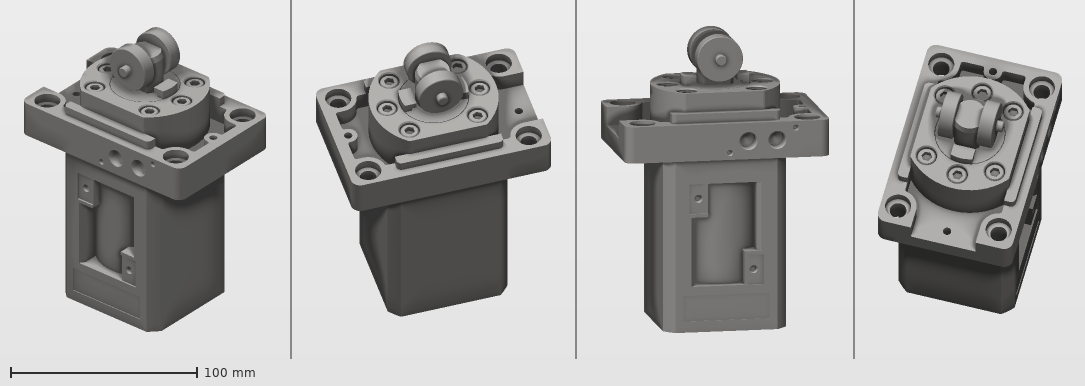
import cadquery as cq
import math

plate_bottom = 95.0
pocket_floor = 104.9
plate_top = 114.9
bar_top = 120.0
cap_top = 130.0
total_height = 158.0

body_width = 67.3
body_depth = 64.5
body_corner_radius = 42.7
front_y = -body_depth / 2

plate_length = 112.0
plate_width = 75.0
plate_corner_radius = 5.0
plate_front_y = -plate_width / 2
fixing_hole_x = 45.0
fixing_hole_y = 28.0
fixing_hole_diameter = 9.0
fixing_counterbore_diameter = 14.0
fixing_counterbore_depth = 5.0
dowel_hole_x = 47.9
dowel_hole_diameter = 4.5

pocket_half_width = 26.9
pocket_end_half_width = 18.0
pocket_end_x = 49.6
pocket_end_fillet = 1.5
pocket_side_fillet = 1.5
fixing_boss_radius = fixing_hole_y - pocket_end_half_width
dowel_boss_diameter = 10.0
dowel_boss_radius = dowel_boss_diameter / 2

bar_length = 59.5
bar_outer_y = 32.7
bar_corner_radius = 2.5

cap_diameter = 70.0
cap_radius = cap_diameter / 2
cap_flat_width = 54.8
cap_flat_y = cap_flat_width / 2
cap_edge_chamfer = 0.5
side_screw_x = 25.9
corner_screw_x = 19.1
corner_screw_y = 19.0
screw_head_diameter = 10.0
screw_head_chamfer = 0.6
screw_recess_diameter = 11.0
screw_recess_chamfer = 0.6
screw_recess_depth = 7.1
screw_head_drop = 1.0
hex_socket_flats = 5.0
hex_socket_depth = 3.0

port_xs = (11.0, 26.9)
port_z = pocket_floor
port_diameter = 8.5
port_rim_diameter = 10.0
port_depth = 7.9
vent_places = ((1.0, 98.8), (37.0, 111.2))
vent_diameter = 2.5
vent_rim_diameter = 3.3
vent_depth = 5.0
drill_half_angle = math.radians(59)

core_radius = 27.0
window_mid_z = 53.1
window_height = 56.2
window_width = 38.4
window_half_width = window_width / 2
window_inner_half_width = 17.0
window_taper_depth = 3.2

lug_inner_x = 10.0
lug_height = 18.3
pad_outer_x = 20.2
pad_height = 16.5
pad_depth = 1.0
pad_hole_x = (lug_inner_x + pad_outer_x) / 2
pad_hole_offset_z = 19.9
pad_hole_diameter = 3.3
pad_hole_rim_diameter = 4.5
pad_hole_depth = 5.0

label_width = 47.1
label_height = 14.0
label_mid_z = 13.1
label_depth = 0.5

bore_diameter = 38.0
disc_diameter = 37.5
post_diameter = 20.0
post_half_thickness = 7.0
post_top = 151.2
post_chamfer_width = 1.3
post_chamfer_height = 3.0
key_half_width = 6.0
key_inner_x = 11.2
key_foot_inner_x = 13.9
key_height = 4.9
key_lip_underside = 1.7

wheel_diameter = 25.0
wheel_outer_span = 29.5
wheel_outer_y = wheel_outer_span / 2
wheel_chamfer = 0.3
axle_diameter = 6.0
axle_length = 37.3
axle_chamfer = 0.5
axle_z = total_height - wheel_diameter / 2


def block(x_range, y_range, z_range):
    """Box between two limits along each axis."""
    size = [high - low for low, high in (x_range, y_range, z_range)]
    corner = (x_range[0], y_range[0], z_range[0])
    return cq.Workplane("XY").box(*size, centered=False).translate(corner)


def upright_cylinder(diameter, bottom, top):
    return cq.Workplane("XY").workplane(offset=bottom).circle(diameter / 2).extrude(top - bottom)


def y_cylinder(diameter, y_start, y_end):
    """Cylinder along Y, centred on the axle line."""
    return (
        cq.Workplane("XZ", origin=(0, y_start, axle_z))
        .circle(diameter / 2)
        .extrude(y_start - y_end)
    )


def drilled_hole(x, z, face_y, diameter, rim_diameter, depth):
    """Blind hole along +Y with a 45 degree rim chamfer and a conical drill tip."""
    radius = diameter / 2
    rim_radius = rim_diameter / 2
    tip = depth + radius / math.tan(drill_half_angle)
    profile = [(0, 0), (rim_radius, 0), (radius, rim_radius - radius), (radius, depth), (0, tip)]
    hole = cq.Workplane("XY").polyline(profile).close().revolve(360, (0, 0, 0), (0, 1, 0))
    return hole.translate((x, face_y, z))


def half_turn(shape):
    """The shape turned by 180 degrees about the window's front-to-back centre line."""
    return shape.rotate((0, 0, window_mid_z), (0, 1, window_mid_z), 180)


def make_lower_body():
    body = block(
        (-body_width / 2, body_width / 2), (front_y, -front_y), (0, plate_bottom)
    )
    return body.intersect(upright_cylinder(2 * body_corner_radius, 0, plate_bottom))


def make_window():
    """Cutter for the window: tapered at its mouth, then straight back to the round core."""
    bottom = window_mid_z - window_height / 2
    top = bottom + window_height
    taper_y = front_y + window_taper_depth
    opening = (
        cq.Workplane("XY").workplane(offset=bottom)
        .polyline([
            (-window_half_width, front_y),
            (window_half_width, front_y),
            (window_inner_half_width, taper_y),
            (window_inner_half_width, 0),
            (-window_inner_half_width, 0),
            (-window_inner_half_width, taper_y),
        ])
        .close()
        .extrude(window_height)
    )
    opening = opening.cut(upright_cylinder(2 * core_radius, bottom, top))
    upper_lug = block((-pad_outer_x, -lug_inner_x), (front_y, 0), (top - lug_height, top))
    return opening.cut(upper_lug).cut(half_turn(upper_lug))


def make_upper_pad():
    """Cutter for the pad of the upper lug: a shallow recess and a hole."""
    top = window_mid_z + window_height / 2
    pad_y = front_y + pad_depth
    recess = block((-pad_outer_x, -lug_inner_x), (front_y, pad_y), (top - pad_height, top))
    hole = drilled_hole(
        -pad_hole_x, window_mid_z + pad_hole_offset_z, pad_y,
        pad_hole_diameter, pad_hole_rim_diameter, pad_hole_depth,
    )
    return recess.union(hole)


def make_label_recess():
    return block(
        (-label_width / 2, label_width / 2),
        (front_y, front_y + label_depth),
        (label_mid_z - label_height / 2, label_mid_z + label_height / 2),
    )


def make_plate():
    plate = block(
        (-plate_length / 2, plate_length / 2),
        (plate_front_y, -plate_front_y),
        (plate_bottom, plate_top),
    )
    return plate.edges("|Z").fillet(plate_corner_radius)


def make_pocket():
    """Cutter for the plate pocket, which curves round the fixing holes and one dowel hole."""
    boss_start_x = fixing_hole_x - math.sqrt(
        fixing_boss_radius**2 - (fixing_hole_y - pocket_half_width) ** 2
    )
    arc_offset = fixing_boss_radius / math.sqrt(2)
    arc_x = fixing_hole_x - arc_offset
    arc_y = fixing_hole_y - arc_offset
    half = (
        cq.Workplane("XY").workplane(offset=pocket_floor)
        .moveTo(-plate_length / 2, 0)
        .lineTo(-plate_length / 2, pocket_end_half_width)
        .lineTo(-fixing_hole_x, pocket_end_half_width)
        .threePointArc((-arc_x, arc_y), (-boss_start_x, pocket_half_width))
        .lineTo(boss_start_x, pocket_half_width)
        .threePointArc((arc_x, arc_y), (fixing_hole_x, pocket_end_half_width))
        .lineTo(pocket_end_x, pocket_end_half_width)
        .lineTo(pocket_end_x, 0)
        .close()
        .extrude(plate_top - pocket_floor)
    )
    pocket = half.union(half.mirror("XZ"))
    dowel_boss = upright_cylinder(dowel_boss_diameter, pocket_floor, plate_top)
    dowel_boss = dowel_boss.translate((dowel_hole_x, 0, 0)).union(block(
        (dowel_hole_x, pocket_end_x),
        (-dowel_boss_radius, dowel_boss_radius),
        (pocket_floor, plate_top),
    ))
    pocket = pocket.cut(dowel_boss)
    pocket = pocket.edges("|Z").edges(">X").fillet(pocket_end_fillet)
    return pocket.edges("|Z").edges(">Y or <Y").fillet(pocket_side_fillet)


def make_plate_holes():
    """Cutter for the four counterbored fixing holes and the two dowel holes."""
    dowel_hole = upright_cylinder(dowel_hole_diameter, plate_bottom, plate_top)
    holes = dowel_hole.translate((dowel_hole_x, 0, 0))
    holes = holes.union(holes.mirror("YZ"))
    fixing_hole = upright_cylinder(fixing_hole_diameter, plate_bottom, plate_top).union(
        upright_cylinder(fixing_counterbore_diameter, plate_top - fixing_counterbore_depth, plate_top)
    )
    for x in (-fixing_hole_x, fixing_hole_x):
        for y in (-fixing_hole_y, fixing_hole_y):
            holes = holes.union(fixing_hole.translate((x, y, 0)))
    return holes


def make_side_bar():
    """Front side bar, along one long edge of the pocket."""
    bar = block(
        (-bar_length / 2, bar_length / 2), (-bar_outer_y, -pocket_half_width), (plate_top, bar_top)
    )
    return bar.edges("|Z and <Y").fillet(bar_corner_radius)


def make_cap():
    cap = upright_cylinder(cap_diameter, pocket_floor, cap_top).intersect(block(
        (-cap_radius, cap_radius), (-cap_flat_y, cap_flat_y), (pocket_floor, cap_top)
    ))
    return cap.edges("|Z").edges(">Y or <Y").chamfer(cap_edge_chamfer)


def make_screw_recess():
    """Cutter for one sunk cap screw: a ring round the head, the space above it and the socket."""
    bottom = cap_top - screw_recess_depth
    head_top = cap_top - screw_head_drop
    recess = upright_cylinder(screw_recess_diameter, bottom, cap_top)
    rim = (
        cq.Workplane("XY").workplane(offset=cap_top)
        .circle(screw_recess_diameter / 2 + screw_recess_chamfer)
        .workplane(offset=-screw_recess_chamfer)
        .circle(screw_recess_diameter / 2)
        .loft(combine=True)
    )
    head = upright_cylinder(screw_head_diameter, bottom, head_top)
    head = head.faces(">Z").edges().chamfer(screw_head_chamfer)
    socket = (
        cq.Workplane("XY").workplane(offset=head_top - hex_socket_depth)
        .polygon(6, hex_socket_flats, circumscribed=True)
        .extrude(hex_socket_depth)
    )
    return recess.union(rim).cut(head).union(socket)


def make_housing():
    housing = make_lower_body().cut(make_window()).cut(make_label_recess())
    pad = make_upper_pad()
    housing = housing.cut(pad).cut(half_turn(pad))

    bar = make_side_bar()
    housing = housing.union(make_plate().cut(make_pocket()).cut(make_plate_holes()))
    housing = housing.union(bar).union(bar.mirror("XZ")).union(make_cap())

    for x in port_xs:
        housing = housing.cut(
            drilled_hole(x, port_z, plate_front_y, port_diameter, port_rim_diameter, port_depth)
        )
    for x, z in vent_places:
        housing = housing.cut(
            drilled_hole(x, z, plate_front_y, vent_diameter, vent_rim_diameter, vent_depth)
        )

    recess = make_screw_recess()
    for side in (-1, 1):
        housing = housing.cut(recess.translate((side * side_screw_x, 0, 0)))
        for y in (-corner_screw_y, corner_screw_y):
            housing = housing.cut(recess.translate((side * corner_screw_x, y, 0)))
    return housing.cut(upright_cylinder(bore_diameter, pocket_floor, cap_top))


def make_key():
    """Hooked key on the +X side of the disc; its lip reaches in over a gap."""
    key = block(
        (key_inner_x, disc_diameter / 2),
        (-key_half_width, key_half_width),
        (cap_top, cap_top + key_height),
    )
    gap = block(
        (key_inner_x, key_foot_inner_x),
        (-key_half_width, key_half_width),
        (cap_top, cap_top + key_lip_underside),
    )
    return key.cut(gap).intersect(upright_cylinder(disc_diameter, cap_top, cap_top + key_height))


def make_rod():
    post = upright_cylinder(post_diameter, cap_top, post_top)
    post = post.faces(">Z").edges().chamfer(post_chamfer_height, post_chamfer_width)
    post = post.intersect(block(
        (-post_diameter, post_diameter),
        (-post_half_thickness, post_half_thickness),
        (cap_top, post_top),
    ))
    axle_hole = y_cylinder(axle_diameter, -post_half_thickness, post_half_thickness)
    key = make_key()
    disc = upright_cylinder(disc_diameter, pocket_floor, cap_top)
    return disc.union(post.cut(axle_hole)).union(key).union(key.mirror("YZ"))


def make_roller_set():
    wheel = y_cylinder(wheel_diameter, post_half_thickness, wheel_outer_y)
    wheel = wheel.edges("%CIRCLE").chamfer(wheel_chamfer)
    axle = y_cylinder(axle_diameter, -axle_length / 2, axle_length / 2)
    axle = axle.edges("%CIRCLE").chamfer(axle_chamfer)
    return axle.union(wheel).union(wheel.mirror("XZ"))


housing = make_housing()
rod = make_rod()
roller_set = make_roller_set()

result = cq.Compound.makeCompound([housing.val(), rod.val(), roller_set.val()])